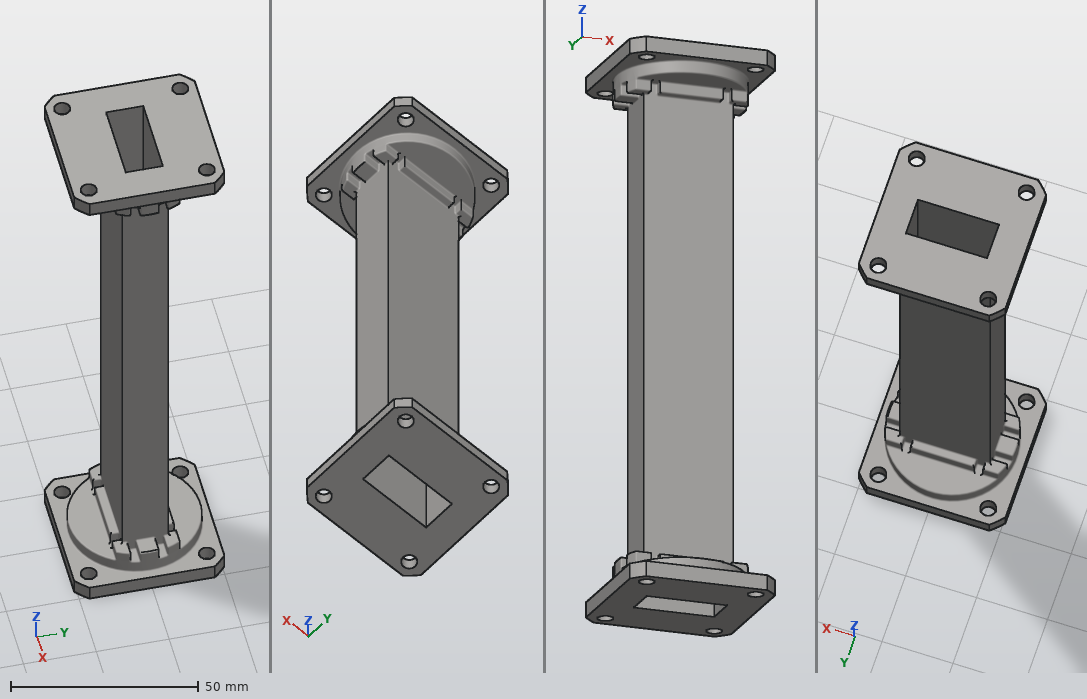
import cadquery as cq
import math

total_length = 152.4

tube_x = 25.5
tube_y = 12.6
bore_x = 22.9
bore_y = 10.2

plate_side = 41.3
plate_corner_diameter = 53.8
plate_thickness = 4.3
bolt_hole_diameter = 4.3
bolt_spacing_x = 31.0
bolt_spacing_y = 32.5

hub_diameter = 36.1
hub_height = 3.7
collar_width_y = 17.5
collar_height = 3.2
slot_width = 2.5
side_slot_x = 10.2
end_slot_y = 3.8
blend_radius = 0.5
tolerance = 0.02

hub_base_z = plate_thickness
hub_top_z = hub_base_z + hub_height
collar_top_z = hub_top_z + collar_height
stub_top_z = total_length / 2


def box_from(z_bottom, z_top, size_x, size_y):
    """Box centred on the tube axis between two heights."""
    return cq.Workplane("XY").workplane(offset=z_bottom).rect(size_x, size_y).extrude(z_top - z_bottom)


def cylinder_from(z_bottom, z_top, diameter):
    """Cylinder centred on the tube axis between two heights."""
    return cq.Workplane("XY").workplane(offset=z_bottom).circle(diameter / 2).extrude(z_top - z_bottom)


def make_plate():
    plate = box_from(0, plate_thickness, plate_side, plate_side)
    return plate.intersect(cylinder_from(0, plate_thickness, plate_corner_diameter))


def cut_slots(collar):
    """Split the collar into four corner posts, two side bars and two end blocks."""
    for side in (-1, 1):
        side_slot = box_from(hub_top_z, collar_top_z, slot_width, collar_width_y)
        collar = collar.cut(side_slot.translate((side * side_slot_x, 0, 0)))
        end_slot = box_from(hub_top_z, collar_top_z, plate_side, slot_width)
        collar = collar.cut(end_slot.translate((0, side * end_slot_y, 0)))
    return collar


def is_on_hub_rim(edge):
    """True for an edge of the collar outline that lies on the outer cylinder of the hub."""
    samples = [edge.positionAt(fraction) for fraction in (0, 0.25, 0.5, 0.75, 1)]
    return all(
        abs(math.hypot(point.x, point.y) - hub_diameter / 2) < tolerance and point.z > hub_top_z - tolerance
        for point in samples
    )


def collar_zone(size_x, size_y):
    """Selector for edges centred within a box over the collar height, sides included."""
    reach_x = size_x / 2 + tolerance
    reach_y = size_y / 2 + tolerance
    return cq.selectors.BoxSelector(
        (-reach_x, -reach_y, hub_top_z - tolerance),
        (reach_x, reach_y, collar_top_z + tolerance),
    )


def make_hub():
    """Hub, slotted collar and tube stub with blended edges; the side slot mouths stay sharp.

    The collar is shaped on an oversize square block, so its edges can be
    blended before the hub cylinder trims it and the rim is rounded in turn.
    """
    block = cut_slots(box_from(hub_top_z, collar_top_z, plate_side, collar_width_y))
    block = block.union(box_from(hub_base_z, hub_top_z, plate_side, plate_side))
    block = block.union(box_from(hub_top_z, stub_top_z, tube_x, tube_y))

    uprights = cq.selectors.ParallelDirSelector(cq.Vector(0, 0, 1))
    sharp_mouths = uprights - collar_zone(tube_x, tube_y)
    inside_block = collar_zone(hub_diameter, hub_diameter)
    block = block.edges(inside_block - sharp_mouths).fillet(blend_radius)

    hub = block.intersect(cylinder_from(hub_base_z, stub_top_z, hub_diameter))
    rim = [edge for edge in hub.edges().vals() if is_on_hub_rim(edge)]
    return hub.newObject(rim).fillet(blend_radius)


def make_bolt_holes():
    centers = cq.Workplane("XY").rect(bolt_spacing_x, bolt_spacing_y, forConstruction=True).vertices()
    return centers.circle(bolt_hole_diameter / 2).extrude(plate_thickness)


def make_half():
    """One flange with half of the tube, the plate face at z = 0."""
    half = make_plate().union(make_hub())
    hub_foot = cq.selectors.BoxSelector(
        (-tolerance, -tolerance, hub_base_z - tolerance),
        (tolerance, tolerance, hub_base_z + tolerance),
    )
    half = half.edges("%CIRCLE").edges(hub_foot).fillet(blend_radius)
    half = half.cut(make_bolt_holes())
    return half.cut(box_from(0, stub_top_z, bore_x, bore_y))


lower_half = make_half()
upper_half = lower_half.mirror("XY", (0, 0, stub_top_z))
result = lower_half.union(upper_half, clean=True)